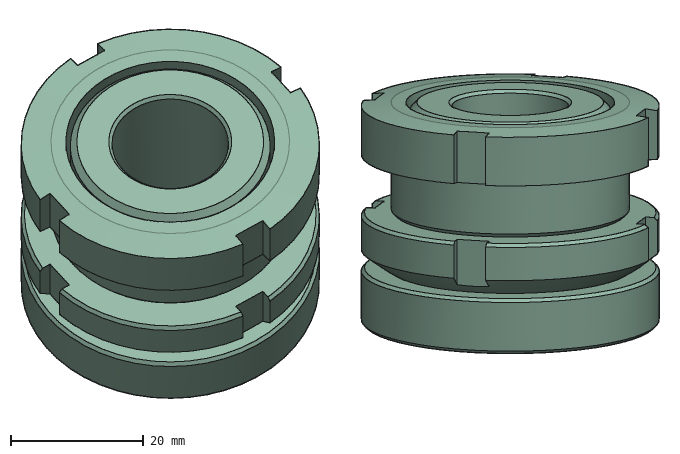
import cadquery as cq
import math

outer_radius = 22.5
tier_height = 8.5
edge_chamfer = 0.5

base_top = tier_height
ring_top = 2 * tier_height
total_height = 4 * tier_height
flange_bottom = total_height - tier_height

bore_radius = 8.78

sphere_radius = 36.0
ring_rim_bottom = 11.4
sphere_center_z = ring_rim_bottom + math.sqrt(sphere_radius**2 - outer_radius**2)

stem_radius = 15.08
stem_chamfer = 1.0

neck_radius = 18.0
neck_chamfer = 0.6
collar_bore_radius = 15.75
flange_bevel_height = 0.5

slot_count = 4
slot_width = 5.0
slot_depth = 2.0


def sphere_height(radius):
    """Height of the lower spherical surface at a distance from the axis."""
    return sphere_center_z - math.sqrt(sphere_radius**2 - radius**2)


def seat_radius_at(height):
    """Distance from the axis at which the spherical surface reaches a height."""
    return math.sqrt(sphere_radius**2 - (sphere_center_z - height)**2)


def revolve_profile(profile):
    """Turn a closed radius-height outline about the Z axis."""
    return profile.close().revolve(360, (0, 0, 0), (0, 1, 0))


def cut_spanner_slots(body, bottom, top):
    """Cut equally spaced rectangular spanner slots into the rim."""
    for index in range(slot_count):
        slot = (
            cq.Workplane("XY")
            .box(slot_depth * 2, slot_width, top - bottom, centered=(False, True, False))
            .translate((outer_radius - slot_depth, 0, bottom))
            .rotate((0, 0, 0), (0, 0, 1), index * 360 / slot_count)
        )
        body = body.cut(slot)
    return body


def make_base():
    """Chamfered disc with a concave spherical seat and a through bore."""
    seat_radius = seat_radius_at(base_top)
    arc_middle = (seat_radius + bore_radius) / 2
    return revolve_profile(
        cq.Workplane("XZ")
        .moveTo(bore_radius, 0)
        .lineTo(outer_radius - edge_chamfer, 0)
        .lineTo(outer_radius, edge_chamfer)
        .lineTo(outer_radius, base_top - edge_chamfer)
        .lineTo(outer_radius - edge_chamfer, base_top)
        .lineTo(seat_radius, base_top)
        .threePointArc(
            (arc_middle, sphere_height(arc_middle)),
            (bore_radius, sphere_height(bore_radius)),
        )
    )


def make_swivel_ring():
    """Slotted ring with a convex spherical underside and a hollow stem."""
    arc_middle = (outer_radius + bore_radius) / 2
    body = revolve_profile(
        cq.Workplane("XZ")
        .moveTo(bore_radius, sphere_height(bore_radius))
        .threePointArc((arc_middle, sphere_height(arc_middle)), (outer_radius, ring_rim_bottom))
        .lineTo(outer_radius, ring_top - edge_chamfer)
        .lineTo(outer_radius - edge_chamfer, ring_top)
        .lineTo(stem_radius, ring_top)
        .lineTo(stem_radius, total_height - stem_chamfer)
        .lineTo(stem_radius - stem_chamfer, total_height)
        .lineTo(bore_radius + edge_chamfer, total_height)
        .lineTo(bore_radius, total_height - edge_chamfer)
    )
    return cut_spanner_slots(body, base_top, ring_top)


def make_collar():
    """Slotted flange, beveled on both faces, above a cylindrical neck."""
    body = revolve_profile(
        cq.Workplane("XZ")
        .moveTo(collar_bore_radius, ring_top)
        .lineTo(neck_radius - neck_chamfer, ring_top)
        .lineTo(neck_radius, ring_top + neck_chamfer)
        .lineTo(neck_radius, flange_bottom)
        .lineTo(outer_radius, flange_bottom + flange_bevel_height)
        .lineTo(outer_radius, total_height - flange_bevel_height)
        .lineTo(neck_radius, total_height)
        .lineTo(collar_bore_radius, total_height)
    )
    return cut_spanner_slots(body, flange_bottom, total_height)


base = make_base()
swivel_ring = make_swivel_ring()
collar = make_collar()

bodies = [base, swivel_ring, collar]
result = cq.Compound.makeCompound([body.solids().val() for body in bodies])